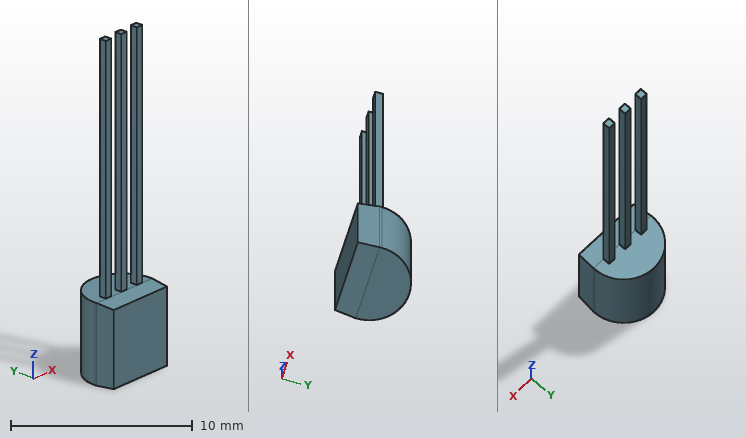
import cadquery as cq
import math

total_height = 20.45
body_width = 4.58
body_depth = 3.62
body_height = 4.97

back_radius = body_width / 2
band_depth = 0.12
front_depth = body_depth - back_radius - band_depth
draft_angle = 5.0
draft_inset = front_depth * math.tan(math.radians(draft_angle))

lead_count = 3
lead_side = 0.45
lead_pitch = 1.27
lead_length = total_height - body_height

parting_y = -band_depth


def make_housing():
    """Package body, standing on Z = 0."""
    back = (
        cq.Workplane("XY")
        .moveTo(-back_radius, parting_y)
        .lineTo(-back_radius, 0)
        .threePointArc((0, back_radius), (back_radius, 0))
        .lineTo(back_radius, parting_y)
        .close()
        .extrude(body_height)
    )
    front = (
        cq.Workplane("XZ", origin=(0, parting_y, body_height / 2))
        .rect(body_width, body_height)
        .workplane(offset=front_depth)
        .rect(body_width - 2 * draft_inset, body_height - 2 * draft_inset)
        .loft(ruled=True)
    )
    return back.union(front)


def make_lead(x):
    """Square lead on top of the housing, its front flush with the parting plane."""
    return (
        cq.Workplane("XY", origin=(x, parting_y + lead_side / 2, body_height))
        .rect(lead_side, lead_side)
        .extrude(lead_length)
    )


housing = make_housing()

leads = []
for index in range(lead_count):
    lead_x = (index - (lead_count - 1) / 2) * lead_pitch
    leads.append(make_lead(lead_x).val())

result = cq.Compound.makeCompound([housing.val(), *leads])